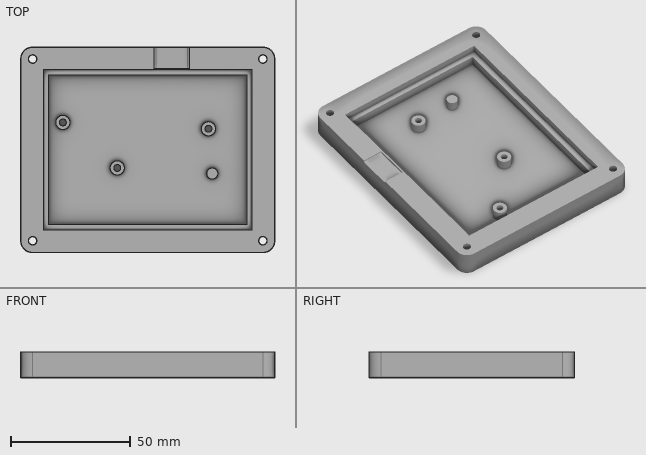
import cadquery as cq

length = 106.4
width = 86.0
height = 11.0
corner_radius = 5.0
bottom_fillet = 0.4

upper_length = 87.2
upper_width = 67.2
upper_depth = 3.6
lower_length = 83.2
lower_width = 62.5
floor_thickness = 2.8
floor_to_ledge = height - upper_depth - floor_thickness

screw_diameter = 3.4
screw_spacing_x = length - 2 * corner_radius
screw_spacing_y = width - 2 * corner_radius

support_height = floor_to_ledge
post_diameter = 6.0
post_bore = 2.9
post_centers = [(-35.5, 11.5), (25.4, 8.8), (-12.8, -7.5)]
pin_diameter = 4.7
pin_center = (27.0, -9.9)

relief_left = 2.5
relief_width = 15.0
relief_depth = 1.0
relief_right = relief_left + relief_width
lip_thickness = 0.4
relief_length = (width - upper_width) / 2 - lip_thickness


def make_body():
    block = cq.Workplane("XY").box(length, width, height, centered=(True, True, False))
    return block.edges("|Z").fillet(corner_radius).faces("<Z").edges().fillet(bottom_fillet)


def cut_cavity(body):
    upper = (
        cq.Workplane("XY")
        .workplane(offset=height - upper_depth)
        .rect(upper_length, upper_width)
        .extrude(upper_depth)
    )
    lower = (
        cq.Workplane("XY")
        .workplane(offset=floor_thickness)
        .rect(lower_length, lower_width)
        .extrude(floor_to_ledge)
    )
    return body.cut(upper.union(lower))


def make_screw_holes():
    return (
        cq.Workplane("XY")
        .rect(screw_spacing_x, screw_spacing_y, forConstruction=True)
        .vertices()
        .circle(screw_diameter / 2)
        .extrude(height)
    )


def make_supports():
    floor = cq.Workplane("XY").workplane(offset=floor_thickness)
    posts = (
        floor.pushPoints(post_centers)
        .circle(post_diameter / 2)
        .circle(post_bore / 2)
        .extrude(support_height)
    )
    pin = floor.center(*pin_center).circle(pin_diameter / 2).extrude(support_height)
    return posts.add(pin).combine()


def make_relief():
    """Flat-bottomed channel along Y whose sides are quarter rounds as tall as the channel is deep."""
    relief_floor = height - relief_depth
    return (
        cq.Workplane("XZ", origin=(0, width / 2, 0))
        .moveTo(relief_left, height)
        .radiusArc((relief_left + relief_depth, relief_floor), -relief_depth)
        .lineTo(relief_right - relief_depth, relief_floor)
        .radiusArc((relief_right, height), -relief_depth)
        .close()
        .extrude(relief_length)
    )


result = cut_cavity(make_body()).cut(make_screw_holes()).union(make_supports()).cut(make_relief())